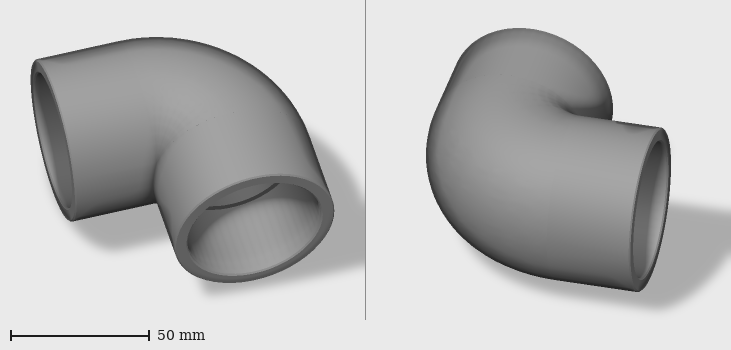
import cadquery as cq

overall_length = 89.0
outer_diameter = 60.0
socket_diameter = 50.0
bore_diameter = 46.0
socket_depth = 31.1
mouth_chamfer = 0.5

outer_radius = outer_diameter / 2
bore_radius = bore_diameter / 2
mouth_distance = overall_length - outer_radius
bend_radius = mouth_distance - socket_depth


def make_sleeve():
    """Straight socket along +X, open through its full length and chamfered at the mouth."""
    sleeve = (
        cq.Workplane("YZ", origin=(bend_radius, 0, 0))
        .circle(outer_radius)
        .circle(socket_diameter / 2)
        .extrude(socket_depth)
    )
    return sleeve.faces(">X").chamfer(mouth_chamfer)


def make_sockets():
    """Both sleeves, joined where they cross in the inner corner of the elbow."""
    x_sleeve = make_sleeve()
    y_sleeve = x_sleeve.rotate((0, 0, 0), (0, 0, 1), -90)
    return x_sleeve.union(y_sleeve)


def turn_about_bend_axis(profile):
    """Sweep a section on the XZ plane through 90 degrees about the bend axis, parallel to Z."""
    swept = profile.revolve(90, (bend_radius, 0, 0), (bend_radius, -1, 0))
    return swept.translate((0, -bend_radius, 0))


def make_bend():
    """Hollow quarter bend whose annular ends form the stop ledges of the sockets."""
    axis_half_height = (outer_radius**2 - bend_radius**2) ** 0.5
    outer_profile = (
        cq.Workplane("XZ")
        .moveTo(bend_radius, -axis_half_height)
        .threePointArc((-outer_radius, 0), (bend_radius, axis_half_height))
        .close()
    )
    bore_profile = cq.Workplane("XZ").circle(bore_radius)
    return turn_about_bend_axis(outer_profile).cut(turn_about_bend_axis(bore_profile))


sockets = make_sockets()
bend = make_bend()

result = cq.Compound.makeCompound([*sockets.vals(), *bend.vals()])